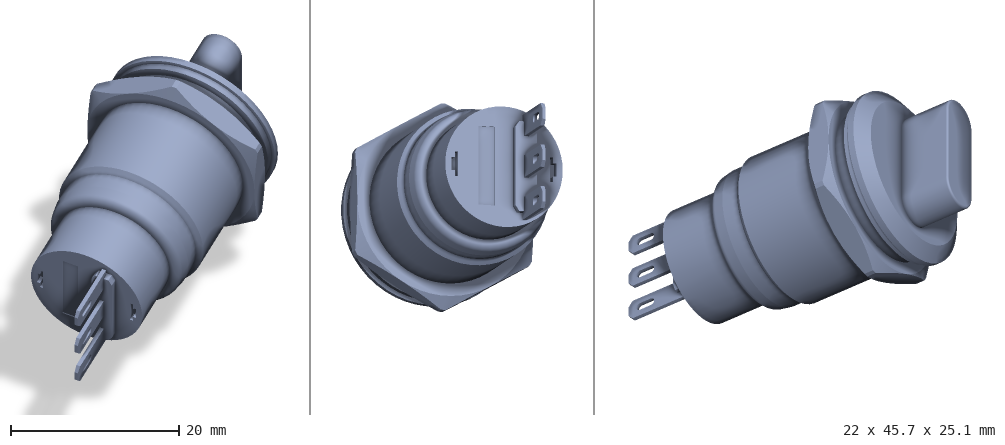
import cadquery as cq
import math


OVERALL_LENGTH = 45.7

KNOB_LENGTH = 6.6
KNOB_WIDTH = 5.2
KNOB_HEIGHT = 15.7
KNOB_EDGE_RADIUS = 0.27

FLANGE_DIAMETER = 22.0
FLANGE_FACE_DIAMETER = 18.35
FLANGE_BEVEL_LENGTH = 1.3
FLANGE_RIM_LENGTH = 0.8
LIP_DIAMETER = 21.0
LIP_LENGTH = 0.85

BARREL_DIAMETER = 18.95
BARREL_REAR = -18.8
BARREL_CHAMFER_LENGTH = 0.65

COLLAR_DIAMETER = 17.7
COLLAR_CYLINDER_LENGTH = 2.1
COLLAR_TAPERED_LENGTH = 1.95
COLLAR_TAPER_ANGLE = math.radians(10)
COLLAR_ROUND_RADIUS = 0.8

BODY_DIAMETER = 14.62
BODY_REAR = -31.08

NUT_ACROSS_FLATS = 22.0
NUT_CORNER_DIAMETER = 25.05
NUT_FRONT = -4.85
NUT_THICKNESS = 2.92
NUT_CHAMFER_LENGTH = 0.85

TERMINAL_X = 2.45
PAD_WIDTH = 2.65
PAD_HEIGHT = 10.9
PAD_THICKNESS = 0.95
PAD_BEVEL_WIDTH = 0.45
PAD_BEVEL_HEIGHT = 0.7
TERMINAL_COUNT = 3
TERMINAL_PITCH = 5.03
TERMINAL_WIDTH = 2.7
TERMINAL_THICKNESS = 0.5
TERMINAL_ROOT_GAP = 0.3
TIP_BEVEL_LENGTH = 0.6
TIP_BEVEL_HEIGHT = 0.7
TIP_THICKNESS = 0.4
EYE_LENGTH = 2.5
EYE_WIDTH = 1.0
EYE_TO_TIP = 2.4

LABEL_DEPTH = 0.15
LABEL_X = -2.15
LABEL_WIDTH = 2.0
LABEL_HEIGHT = 9.55
LAMP_SLOT_DEPTH = 1.0
LAMP_SLOT_INNER_X = 5.7
LAMP_SLOT_STEP_WIDTH = 0.4
LAMP_SLOT_HEIGHT = 2.95
LAMP_SLOT_OUTER_HEIGHT = 1.6

TERMINAL_TIP = KNOB_LENGTH - OVERALL_LENGTH


def box_between(x_min, x_max, y_rear, y_front, height):
    """Box centred on Z = 0 between the given X and Y limits."""
    return (
        cq.Workplane("XY")
        .box(x_max - x_min, y_front - y_rear, height, centered=(False, False, True))
        .translate((x_min, y_rear, 0))
    )


def turned_housing():
    """Flange, barrel, collar and rear body as one turned solid."""
    rim_front = -FLANGE_BEVEL_LENGTH
    rim_rear = rim_front - FLANGE_RIM_LENGTH
    lip_rear = rim_rear - LIP_LENGTH
    collar_front = BARREL_REAR - BARREL_CHAMFER_LENGTH
    taper_front = collar_front - COLLAR_CYLINDER_LENGTH
    collar_rear = taper_front - COLLAR_TAPERED_LENGTH

    round_center_y = collar_rear + COLLAR_ROUND_RADIUS
    taper_rear = round_center_y - COLLAR_ROUND_RADIUS * math.sin(COLLAR_TAPER_ANGLE)
    taper_rear_radius = COLLAR_DIAMETER / 2 - (taper_front - taper_rear) * math.tan(COLLAR_TAPER_ANGLE)
    round_center_r = taper_rear_radius - COLLAR_ROUND_RADIUS * math.cos(COLLAR_TAPER_ANGLE)
    middle_angle = (COLLAR_TAPER_ANGLE + math.pi / 2) / 2
    round_middle = (
        round_center_r + COLLAR_ROUND_RADIUS * math.cos(middle_angle),
        round_center_y - COLLAR_ROUND_RADIUS * math.sin(middle_angle),
    )

    return (
        cq.Workplane("XY")
        .moveTo(0, 0)
        .lineTo(FLANGE_FACE_DIAMETER / 2, 0)
        .lineTo(FLANGE_DIAMETER / 2, rim_front)
        .lineTo(FLANGE_DIAMETER / 2, rim_rear)
        .lineTo(LIP_DIAMETER / 2, rim_rear)
        .lineTo(LIP_DIAMETER / 2, lip_rear)
        .lineTo(BARREL_DIAMETER / 2, lip_rear)
        .lineTo(BARREL_DIAMETER / 2, BARREL_REAR)
        .lineTo(COLLAR_DIAMETER / 2, collar_front)
        .lineTo(COLLAR_DIAMETER / 2, taper_front)
        .lineTo(taper_rear_radius, taper_rear)
        .threePointArc(round_middle, (round_center_r, collar_rear))
        .lineTo(BODY_DIAMETER / 2, collar_rear)
        .lineTo(BODY_DIAMETER / 2, BODY_REAR)
        .lineTo(0, BODY_REAR)
        .close()
        .revolve(360, (0, 0, 0), (0, 1, 0))
    )


def knob():
    """Flat grip with fully rounded ends and a softened front edge."""
    return (
        cq.Workplane("XZ")
        .slot2D(KNOB_HEIGHT, KNOB_WIDTH, 90)
        .extrude(-KNOB_LENGTH)
        .faces(">Y")
        .edges()
        .fillet(KNOB_EDGE_RADIUS)
    )


def lock_nut():
    """Hexagon with flats facing +X and -X and both faces cone-chamfered."""
    nut_rear = NUT_FRONT - NUT_THICKNESS
    hexagon = (
        cq.Workplane("XZ", origin=(0, NUT_FRONT, 0))
        .transformed(rotate=(0, 0, 30))
        .polygon(6, NUT_ACROSS_FLATS / math.cos(math.pi / 6))
        .extrude(NUT_THICKNESS)
    )
    corner_envelope = (
        cq.Workplane("XY")
        .moveTo(0, NUT_FRONT)
        .lineTo(NUT_ACROSS_FLATS / 2, NUT_FRONT)
        .lineTo(NUT_CORNER_DIAMETER / 2, NUT_FRONT - NUT_CHAMFER_LENGTH)
        .lineTo(NUT_CORNER_DIAMETER / 2, nut_rear + NUT_CHAMFER_LENGTH)
        .lineTo(NUT_ACROSS_FLATS / 2, nut_rear)
        .lineTo(0, nut_rear)
        .close()
        .revolve(360, (0, 0, 0), (0, 1, 0))
    )
    return hexagon.intersect(corner_envelope)


def terminal_pad():
    """Pad with bevelled corners on the rear face that carries the terminals."""
    half_width = PAD_WIDTH / 2
    half_height = PAD_HEIGHT / 2
    return (
        cq.Workplane("XZ", origin=(TERMINAL_X, BODY_REAR, 0))
        .moveTo(0, half_height)
        .lineTo(half_width - PAD_BEVEL_WIDTH, half_height)
        .lineTo(half_width, half_height - PAD_BEVEL_HEIGHT)
        .lineTo(half_width, 0)
        .mirrorX()
        .mirrorY()
        .extrude(PAD_THICKNESS)
    )


def terminal(z):
    """Blade with a bevelled, slightly thinned tip and an eye, starting just behind the rear face."""
    half_width = TERMINAL_WIDTH / 2
    root = BODY_REAR - TERMINAL_ROOT_GAP
    blade = (
        cq.Workplane("YZ", origin=(TERMINAL_X, 0, 0))
        .moveTo(root, 0)
        .lineTo(root, half_width)
        .lineTo(TERMINAL_TIP + TIP_BEVEL_LENGTH, half_width)
        .lineTo(TERMINAL_TIP, half_width - TIP_BEVEL_HEIGHT)
        .lineTo(TERMINAL_TIP, 0)
        .mirrorX()
        .extrude(TERMINAL_THICKNESS / 2, both=True)
    )
    tapered_plan = (
        cq.Workplane("XY")
        .moveTo(0, root)
        .lineTo(TERMINAL_THICKNESS / 2, root)
        .lineTo(TERMINAL_THICKNESS / 2, TERMINAL_TIP + TIP_BEVEL_LENGTH)
        .lineTo(TIP_THICKNESS / 2, TERMINAL_TIP)
        .lineTo(0, TERMINAL_TIP)
        .mirrorY()
        .extrude(TERMINAL_WIDTH, both=True)
        .translate((TERMINAL_X, 0, 0))
    )
    eye = (
        cq.Workplane("YZ", origin=(TERMINAL_X, TERMINAL_TIP + EYE_TO_TIP, 0))
        .slot2D(EYE_LENGTH, EYE_WIDTH)
        .extrude(TERMINAL_THICKNESS, both=True)
    )
    return blade.intersect(tapered_plan).cut(eye).translate((0, 0, z))


def rear_recesses():
    """Label field and the two stepped lamp slots, sunk into the rear face."""
    label_floor = BODY_REAR + LABEL_DEPTH
    slot_floor = BODY_REAR + LAMP_SLOT_DEPTH
    label = box_between(
        LABEL_X - LABEL_WIDTH / 2, LABEL_X + LABEL_WIDTH / 2, BODY_REAR, label_floor, LABEL_HEIGHT
    )
    step_x = LAMP_SLOT_INNER_X + LAMP_SLOT_STEP_WIDTH
    outer_x = step_x + LAMP_SLOT_STEP_WIDTH
    tall_part = box_between(LAMP_SLOT_INNER_X, step_x, BODY_REAR, slot_floor, LAMP_SLOT_HEIGHT)
    short_part = box_between(step_x, outer_x, BODY_REAR, slot_floor, LAMP_SLOT_OUTER_HEIGHT)
    lamp_slot = tall_part.union(short_part)
    return label.union(lamp_slot).union(lamp_slot.mirror("YZ"))


result = turned_housing().union(knob()).union(lock_nut()).cut(rear_recesses()).union(terminal_pad())
for index in range(TERMINAL_COUNT):
    result = result.union(terminal((index - (TERMINAL_COUNT - 1) / 2) * TERMINAL_PITCH))